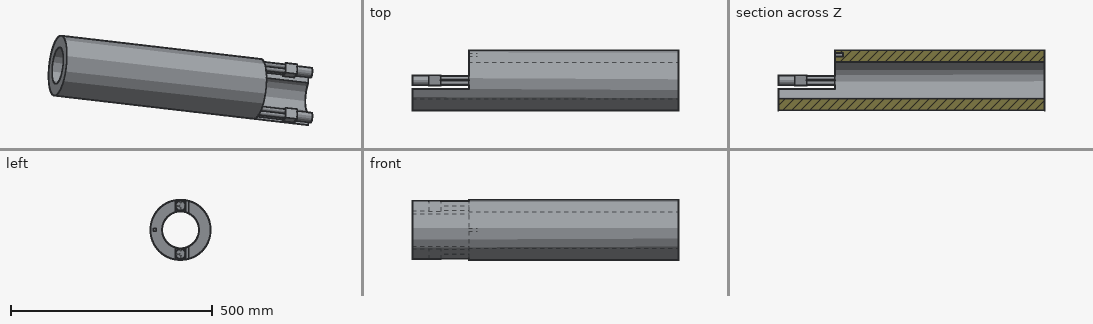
import cadquery as cq

tube_length = 660.0
outer_diameter = 150.0
bore_diameter = 91.0

notch_length = 140.0
notch_floor_y = -21.0

shoulder_hole_diameter = 8.0
shoulder_hole_y = 63.75
shoulder_hole_depth = 20.0

connector_offset = 59.75
plug_diameter = 25.0
plug_length = 40.0
block_length = 30.0
block_side = 26.0
rod_diameter = 11.0
rod_spacing = 12.0
rod_embedment = 10.0


def rod_along_x(diameter, start_x, end_x, y, z):
    """Solid cylinder parallel to X between two X positions."""
    profile = cq.Workplane("YZ", origin=(start_x, y, z)).circle(diameter / 2)
    return profile.extrude(end_x - start_x)


def make_tube():
    """Hollow tube with the side notch cut away."""
    profile = cq.Workplane("YZ").circle(outer_diameter / 2).circle(bore_diameter / 2)
    tube = profile.extrude(tube_length)
    notch = (
        cq.Workplane("XY")
        .box(notch_length, outer_diameter, outer_diameter, centered=(False, False, True))
        .translate((0, notch_floor_y, 0))
    )
    return tube.cut(notch)


def make_shoulder_hole():
    """Cutter for the blind hole in the notch shoulder."""
    hole_end = notch_length + shoulder_hole_depth
    return rod_along_x(shoulder_hole_diameter, notch_length, hole_end, shoulder_hole_y, 0)


def make_connector(z):
    """Plug, block and rods centred at height z, anchored in the notch shoulder."""
    block_end = plug_length + block_length
    plug = rod_along_x(plug_diameter, 0, plug_length, 0, z)
    block = (
        cq.Workplane("XY")
        .box(block_length, block_side, block_side, centered=(False, True, True))
        .translate((plug_length, 0, z))
    )
    connector = plug.union(block)
    rod_end = notch_length + rod_embedment
    for y_side in (-1, 1):
        for z_side in (-1, 1):
            rod_y = y_side * rod_spacing / 2
            rod_z = z + z_side * rod_spacing / 2
            connector = connector.union(rod_along_x(rod_diameter, block_end, rod_end, rod_y, rod_z))
    return connector


result = make_tube().cut(make_shoulder_hole())
for side in (-1, 1):
    result = result.union(make_connector(side * connector_offset))